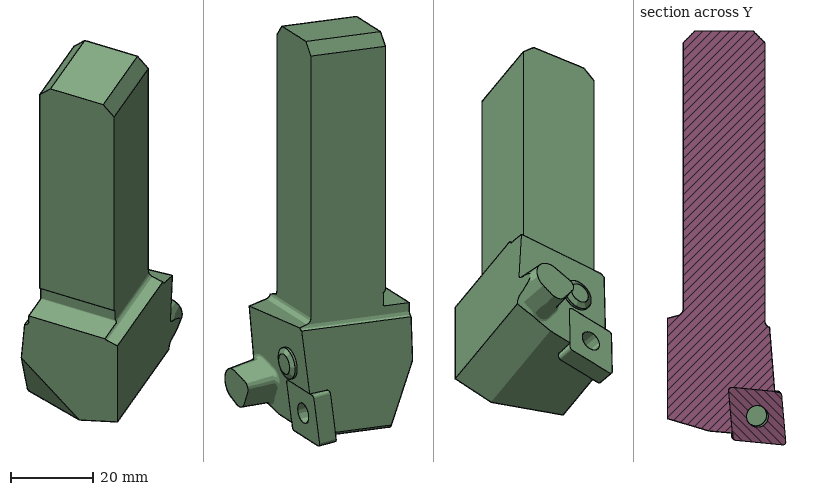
import cadquery as cq
import math


SHANK_SIZE = 20.0
TOP_Z = 101.0
TOP_CHAMFER = 2.9

FRONT_Y = -6.4
SHELF_Z = 32.0
UNDERCUT_DEPTH = 0.6
UNDERCUT_TOP_Z = 35.4
SHELF_FILLET = 0.4

SHOULDER_SLOPE = math.radians(15)
SHOULDER_FILLET = 1.5
LEFT_SHOULDER_Z = 30.2
RIGHT_SHOULDER_Z = 33.1
BACK_SHOULDER_Z = 31.3

HEAD_RIGHT_X = 23.8
HEAD_RIGHT_BOTTOM_Z = 6.5
BOTTOM_KINK = (13.6, 3.4)
FLANK_LOW = (-3.2, 2.5)
BOTTOM_LEFT = (-2.9, 1.9)

CORNER_CUT_TOP_Z = 17.9
CORNER_CUT_BACK_Y = 0.0

BACK_Y = 20.5
BACK_TILT_X = 0.11
BACK_TILT_Z = 0.09

BOSS_DIAMETER = 8.0
BOSS_HEIGHT = 1.3
BOSS_CHAMFER_WIDTH = 1.4
BOSS_CHAMFER_HEIGHT = 0.7
BOSS_CENTRE = (6.9, 18.6)

NOZZLE_TIP = (15.3, 12.0, 2.5)
NOZZLE_BOTTOM = (18.4, 9.1, 3.6)
NOZZLE_MAIN = (20.5, 11.4, 4.7)
NOZZLE_LENGTH = 8.3
NOZZLE_DRAFT = 5.0
NOZZLE_ROOT_FILLET = 1.0

INSERT_CORNER = (-5.3, -0.1)
INSERT_SIDE = 12.9
INSERT_THICKNESS = 4.7
INSERT_LEAN = math.radians(5)
INSERT_CORNER_RADIUS = 0.8
INSERT_HOLE_DIAMETER = 5.2

BLANK_BACK_Y = 30.3
FAR = 60.6


def shoulder_arc(start, side):
    """Middle and end of the fillet that turns from a vertical wall into a sloping shoulder."""
    def at(angle):
        outward = SHOULDER_FILLET * (1 - math.cos(angle))
        return (start[0] + side * outward, start[1] - SHOULDER_FILLET * math.sin(angle))

    turn = math.pi / 2 - SHOULDER_SLOPE
    return at(turn / 2), at(turn)


def down_slope(start, x):
    """Point where the shoulder falling from start reaches x."""
    return (x, start[1] - abs(x - start[0]) * math.tan(SHOULDER_SLOPE))


LEFT_ARC_MIDDLE, FLANK_TOP = shoulder_arc((0, LEFT_SHOULDER_Z), -1)


def front_prism():
    """Shank and head outline in X and Z, carried through the whole depth."""
    right_start = (SHANK_SIZE, RIGHT_SHOULDER_Z)
    right_middle, right_end = shoulder_arc(right_start, 1)
    return (
        cq.Workplane("XZ", origin=(0, FAR, 0))
        .moveTo(TOP_CHAMFER, TOP_Z)
        .lineTo(0, TOP_Z - TOP_CHAMFER)
        .lineTo(0, LEFT_SHOULDER_Z)
        .threePointArc(LEFT_ARC_MIDDLE, FLANK_TOP)
        .lineTo(*FLANK_LOW)
        .lineTo(*BOTTOM_LEFT)
        .lineTo(*BOTTOM_KINK)
        .lineTo(HEAD_RIGHT_X, HEAD_RIGHT_BOTTOM_Z)
        .lineTo(*down_slope(right_end, HEAD_RIGHT_X))
        .lineTo(*right_end)
        .threePointArc(right_middle, right_start)
        .lineTo(SHANK_SIZE, TOP_Z - TOP_CHAMFER)
        .lineTo(SHANK_SIZE - TOP_CHAMFER, TOP_Z)
        .close()
        .extrude(2 * FAR)
    )


def side_prism():
    """Shank and head outline in Y and Z, with the shelf and undercut in front."""
    back_start = (SHANK_SIZE, BACK_SHOULDER_Z)
    back_middle, back_end = shoulder_arc(back_start, 1)
    head_back = down_slope(back_end, BLANK_BACK_Y)
    arc_offset = SHELF_FILLET * (1 - math.sqrt(0.5))
    return (
        cq.Workplane("YZ", origin=(-FAR, 0, 0))
        .moveTo(FRONT_Y, 0)
        .lineTo(FRONT_Y, SHELF_Z)
        .lineTo(UNDERCUT_DEPTH - SHELF_FILLET, SHELF_Z)
        .threePointArc(
            (UNDERCUT_DEPTH - arc_offset, SHELF_Z + arc_offset),
            (UNDERCUT_DEPTH, SHELF_Z + SHELF_FILLET),
        )
        .lineTo(UNDERCUT_DEPTH, UNDERCUT_TOP_Z)
        .lineTo(0, UNDERCUT_TOP_Z + UNDERCUT_DEPTH)
        .lineTo(0, TOP_Z)
        .lineTo(SHANK_SIZE, TOP_Z)
        .lineTo(*back_start)
        .threePointArc(back_middle, back_end)
        .lineTo(*head_back)
        .lineTo(BLANK_BACK_Y, 0)
        .close()
        .extrude(2 * FAR)
    )


def back_workplane():
    """Plane of the back face: local x and y run along X and Z, and its normal points into the head."""
    return cq.Workplane(cq.Plane(
        origin=(0, BACK_Y, 0),
        xDir=(1, BACK_TILT_X, 0),
        normal=(BACK_TILT_X, -1, BACK_TILT_Z),
    ))


def tangent_normal(circle, following):
    """Direction from both centres to the touching points of their outer tangent."""
    run = following[0] - circle[0]
    rise = following[1] - circle[1]
    return math.atan2(rise, run) - math.acos((circle[2] - following[2]) / math.hypot(run, rise))


def on_circle(circle, angle):
    x, z, radius = circle
    return (x + radius * math.cos(angle), z + radius * math.sin(angle))


def nozzle():
    """Drafted stub whose section wraps three circles with tangent lines."""
    circles = [NOZZLE_TIP, NOZZLE_BOTTOM, NOZZLE_MAIN]
    normals = [tangent_normal(circle, circles[i + 1 - len(circles)]) for i, circle in enumerate(circles)]
    section = back_workplane().moveTo(*on_circle(circles[0], normals[-1]))
    for i, circle in enumerate(circles):
        turn = (normals[i] - normals[i - 1]) % (2 * math.pi)
        if i > 0:
            section = section.lineTo(*on_circle(circle, normals[i - 1]))
        section = section.threePointArc(
            on_circle(circle, normals[i - 1] + turn / 2),
            on_circle(circle, normals[i]),
        )
    return section.close().extrude(-NOZZLE_LENGTH, taper=NOZZLE_DRAFT)


def nozzle_root_edges():
    """Selects the edges where the nozzle meets the back face; its other edges reach out of the box."""
    left = NOZZLE_TIP[0] - NOZZLE_TIP[2] - NOZZLE_ROOT_FILLET
    right = NOZZLE_MAIN[0] + NOZZLE_MAIN[2] + NOZZLE_ROOT_FILLET
    top = NOZZLE_MAIN[1] + NOZZLE_MAIN[2] + NOZZLE_ROOT_FILLET
    return cq.selectors.BoxSelector(
        (left, BACK_Y, 0), (right, BACK_Y + NOZZLE_LENGTH, top), boundingbox=True)


def boss():
    """Low round head with a conical rim."""
    disc = back_workplane().center(*BOSS_CENTRE).circle(BOSS_DIAMETER / 2).extrude(-BOSS_HEIGHT)
    outer_rim = disc.faces(cq.selectors.DirectionMinMaxSelector(
        cq.Vector(-BACK_TILT_X, 1, -BACK_TILT_Z))).edges()
    return outer_rim.chamfer(BOSS_CHAMFER_HEIGHT, BOSS_CHAMFER_WIDTH)


def corner_cut():
    """Everything in front of the plane through the three corners of the slanted face."""
    fall = (FLANK_TOP[1] - CORNER_CUT_TOP_Z) / (FLANK_TOP[1] - FLANK_LOW[1])
    flank_x = FLANK_TOP[0] + fall * (FLANK_LOW[0] - FLANK_TOP[0])
    flank_corner = cq.Vector(flank_x, FRONT_Y, CORNER_CUT_TOP_Z)
    bottom_corner = cq.Vector(BOTTOM_KINK[0], FRONT_Y, BOTTOM_KINK[1])
    back_corner = cq.Vector(BOTTOM_LEFT[0], CORNER_CUT_BACK_Y, BOTTOM_LEFT[1])
    along = bottom_corner - flank_corner
    outward = (back_corner - flank_corner).cross(along)
    plane = cq.Plane(origin=flank_corner, xDir=along, normal=outward)
    return cq.Workplane(plane).rect(FAR, FAR).extrude(FAR)


def insert_plate():
    """Rhombic plate without its hole, its rake face flush with the back face of the head."""
    along = INSERT_SIDE * math.cos(INSERT_LEAN)
    across = INSERT_SIDE * math.sin(INSERT_LEAN)
    x, z = INSERT_CORNER
    corners = [
        (x, z),
        (x + along, z + across),
        (x + along + across, z + along + across),
        (x + across, z + along),
    ]
    plate = back_workplane().polyline(corners).close().extrude(INSERT_THICKNESS)
    thickness_edges = cq.selectors.ParallelDirSelector(cq.Vector(BACK_TILT_X, -1, BACK_TILT_Z))
    return plate.edges(thickness_edges).fillet(INSERT_CORNER_RADIUS)


def make_insert():
    """Insert plate with a round hole through its centre."""
    half_diagonal = INSERT_SIDE * (math.cos(INSERT_LEAN) + math.sin(INSERT_LEAN)) / 2
    hole = (
        back_workplane()
        .center(INSERT_CORNER[0] + half_diagonal, INSERT_CORNER[1] + half_diagonal)
        .circle(INSERT_HOLE_DIAMETER / 2)
        .extrude(INSERT_THICKNESS)
    )
    return insert_plate().cut(hole)


def make_holder():
    """Shank and head in one piece, with a pocket that fits the insert."""
    behind = back_workplane().rect(6 * FAR, 6 * FAR).extrude(-FAR)
    blank = side_prism().cut(behind).union(nozzle())
    blank = blank.edges(nozzle_root_edges()).fillet(NOZZLE_ROOT_FILLET)
    return blank.union(boss()).intersect(front_prism()).cut(corner_cut()).cut(insert_plate())


insert = make_insert()
holder = make_holder()

result = cq.Compound.makeCompound([holder.val(), insert.val()])